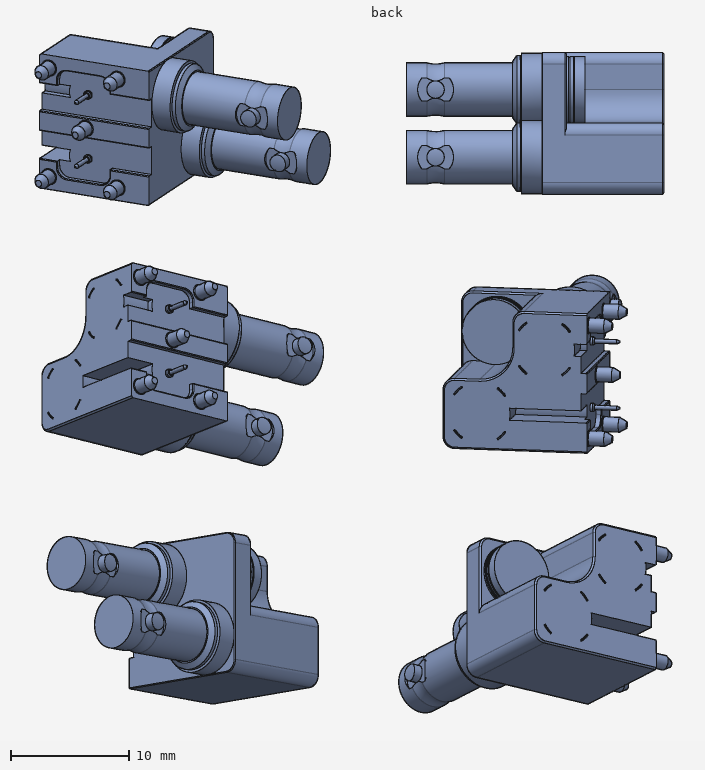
import cadquery as cq
import math


HOUSING_LENGTH = 10.36
HOUSING_HEIGHT = 12.43
HOUSING_WIDTH = 12.05
HALF_WIDTH = HOUSING_WIDTH / 2
CORNER_RADIUS = 1.0
REAR_CHAMFER = 0.15
FRONT_CHAMFER = 0.08
PLATE_REAR_X = 8.26
PLATE_OVERLAP = 1.0

CONNECTOR_Z = 2.865
LOW_AXIS_Y = 3.67
HIGH_AXIS_Y = 9.25
CONNECTOR_AXES = [(LOW_AXIS_Y, CONNECTOR_Z), (HIGH_AXIS_Y, -CONNECTOR_Z)]

NOTCH_RADIUS = 2.83
PLUG_RADIUS = 2.8
PLUG_REAR_X = 6.7
PLUG_GROOVE_RADIUS = 2.74
PLUG_GROOVES = [(7.6, 7.68), (7.95, 8.08)]

RECESS_DEPTH = 0.5
RAIL_HALF_WIDTH = 0.89
RECESS_OUTER_Z = 3.38
POCKET_OUTER_Z = 4.84
POCKET_START_X = 1.68
POCKET_END_X = 6.66
POCKET_CORNER_RADIUS = 0.95
RECESS_EDGE_CHAMFER = 0.08

CONTACT_X = 4.39
SLOT_WIDTH = 1.04
CORE_RADIUS = 2.62
CONTACT_CORE_RADIUS = 1.79

MARK_INNER_RADIUS = 2.62
MARK_OUTER_RADIUS = 2.74
MARK_SPAN = 20
MARK_DEPTH = 0.2
MARK_ANGLES = (45, 135, 225, 315)

PIN_LENGTH = 2.02
PIN_RADIUS = 0.64
PIN_TIP_RADIUS = 0.29
PIN_CONE_START = 1.4
PIN_FLARE = 0.07
PIN_REAR_X = 0.91
PIN_FRONT_X = 7.4
PIN_OUTER_Z = 4.87
PIN_PLACES = [(CONTACT_X, 0)] + [
    (x, z) for x in (PIN_REAR_X, PIN_FRONT_X) for z in (-PIN_OUTER_Z, PIN_OUTER_Z)
]

CONTACT_COLLAR_RADIUS = 0.36
CONTACT_COLLAR_END_RADIUS = 0.28
CONTACT_COLLAR_HEIGHT = 0.2
CONTACT_SHAFT_RADIUS = 0.19
CONTACT_SHAFT_START = 0.34
CONTACT_TIP_LENGTH = 0.28
CONTACT_TIP_RADIUS = 0.06

COLLAR_RADIUS = 3.1
COLLAR_END_X = 12.08
NECK_RADIUS = 2.54
FLANGE_RADIUS = 2.9
FLANGE_START_X = 12.17
FLANGE_END_X = 12.48
CONE_END_X = 12.83
CONE_END_RADIUS = 2.4
BARREL_RADIUS = 2.275
BARREL_END_X = 21.83

LUG_X = 19.36
LUG_RADIUS = 0.74
LUG_REACH = 2.84
GROOVE_DEPTH = 0.1
SEAT_DISTANCE = 2.05
SEAT_RADIUS = 1.52

EMBED = 0.4


def box_between(x_span, y_span, z_span):
    size = [high - low for low, high in (x_span, y_span, z_span)]
    return cq.Workplane("XY").box(*size, centered=False).translate((x_span[0], y_span[0], z_span[0]))


def cylinder_x(radius, x_start, x_end, y, z):
    return cq.Workplane("YZ", origin=(x_start, y, z)).circle(radius).extrude(x_end - x_start)


def chamfer_end(body, face, size):
    """Chamfer the outline of an end face, except along the board face."""
    board_edge = cq.selectors.BoxSelector(
        (-EMBED, -EMBED, -HOUSING_WIDTH),
        (HOUSING_LENGTH + EMBED, EMBED, HOUSING_WIDTH),
        boundingbox=True,
    )
    return body.faces(face).edges(cq.selectors.InverseSelector(board_edge)).chamfer(size)


def make_plate():
    """Full-width front plate with two rounded corners."""
    plate = box_between((PLATE_REAR_X, HOUSING_LENGTH), (0, HOUSING_HEIGHT), (-HALF_WIDTH, HALF_WIDTH))
    plate = plate.edges("|X and >Y").fillet(CORNER_RADIUS)
    plate = chamfer_end(plate, "<X", REAR_CHAMFER)
    return chamfer_end(plate, ">X", FRONT_CHAMFER)


def make_rear_block():
    """L-shaped block whose inner corner is an arc around the plug."""
    floor_z = CONNECTOR_Z - NOTCH_RADIUS
    wall_y = HIGH_AXIS_Y - NOTCH_RADIUS
    arc_offset = NOTCH_RADIUS * math.cos(math.radians(45))
    block = (
        cq.Workplane("YZ")
        .moveTo(0, -HALF_WIDTH)
        .lineTo(HOUSING_HEIGHT, -HALF_WIDTH)
        .lineTo(HOUSING_HEIGHT, floor_z)
        .lineTo(HIGH_AXIS_Y, floor_z)
        .threePointArc((HIGH_AXIS_Y - arc_offset, CONNECTOR_Z - arc_offset), (wall_y, CONNECTOR_Z))
        .lineTo(wall_y, HALF_WIDTH)
        .lineTo(0, HALF_WIDTH)
        .close()
        .extrude(PLATE_REAR_X + PLATE_OVERLAP)
    )
    block = block.edges("|X and >Y").fillet(CORNER_RADIUS)
    wall_corner = cq.selectors.NearestToPointSelector((PLATE_REAR_X / 2, wall_y, HALF_WIDTH))
    block = block.edges("|X").edges(wall_corner).fillet(CORNER_RADIUS)
    return chamfer_end(block, "<X", REAR_CHAMFER)


def make_recess(side):
    """Board-face recess on one side of the rail, with its rounded outer pocket."""
    depth = (0, RECESS_DEPTH)
    channel = box_between((0, HOUSING_LENGTH), depth, (RAIL_HALF_WIDTH, RECESS_OUTER_Z))
    pocket = box_between((POCKET_START_X, POCKET_END_X), depth, (RAIL_HALF_WIDTH, POCKET_OUTER_Z))
    pocket = pocket.edges("|Y and >Z").fillet(POCKET_CORNER_RADIUS)
    recess = channel.union(pocket)
    return recess if side > 0 else recess.mirror("XY")


def chamfer_recess_edges(body):
    inside = cq.selectors.BoxSelector(
        (EMBED, -EMBED / 2, -POCKET_OUTER_Z - EMBED),
        (HOUSING_LENGTH - EMBED, EMBED / 2, POCKET_OUTER_Z + EMBED),
    )
    return body.faces("<Y").edges(inside).chamfer(RECESS_EDGE_CHAMFER)


def make_slot(axis_y, axis_z):
    """Slot from the rear to the contact; its end and floor bulge around the cores."""
    half = SLOT_WIDTH / 2
    slot = box_between((0, CONTACT_X), (0, axis_y), (axis_z - half, axis_z + half))
    connector_core = cylinder_x(CORE_RADIUS, 0, CONTACT_X, axis_y, axis_z)
    contact_core = (
        cq.Workplane("XZ", origin=(CONTACT_X, 0, axis_z)).circle(CONTACT_CORE_RADIUS).extrude(-axis_y)
    )
    return slot.cut(connector_core).cut(contact_core)


def make_mark(axis_y, axis_z, angle):
    """Short curved groove in the rear face, centred at an angle about the axis."""
    def rim_point(radius, degrees):
        turn = math.radians(degrees)
        return (radius * math.cos(turn), radius * math.sin(turn))

    start = angle - MARK_SPAN / 2
    end = angle + MARK_SPAN / 2
    return (
        cq.Workplane("YZ", origin=(0, axis_y, axis_z))
        .moveTo(*rim_point(MARK_INNER_RADIUS, start))
        .threePointArc(rim_point(MARK_INNER_RADIUS, angle), rim_point(MARK_INNER_RADIUS, end))
        .lineTo(*rim_point(MARK_OUTER_RADIUS, end))
        .threePointArc(rim_point(MARK_OUTER_RADIUS, angle), rim_point(MARK_OUTER_RADIUS, start))
        .close()
        .extrude(MARK_DEPTH)
    )


def make_housing():
    housing = make_plate().union(make_rear_block())
    for side in (-1, 1):
        housing = housing.cut(make_recess(side))
    housing = chamfer_recess_edges(housing)
    for axis_y, axis_z in CONNECTOR_AXES:
        housing = housing.cut(make_slot(axis_y, axis_z))
        for angle in MARK_ANGLES:
            housing = housing.cut(make_mark(axis_y, axis_z, angle))
    return housing


def make_plug():
    """Grooved plug standing on the rear of the plate."""
    plug = cylinder_x(PLUG_RADIUS, PLUG_REAR_X, PLATE_REAR_X + EMBED, HIGH_AXIS_Y, CONNECTOR_Z)
    for start, end in PLUG_GROOVES:
        ring = cylinder_x(PLUG_RADIUS, start, end, HIGH_AXIS_Y, CONNECTOR_Z)
        core = cylinder_x(PLUG_GROOVE_RADIUS, start, end, HIGH_AXIS_Y, CONNECTOR_Z)
        plug = plug.cut(ring.cut(core))
    return plug


def turned_along_y(profile, x, z):
    """Body turned about an axis along Y from (radius, y) points."""
    body = cq.Workplane("XY").polyline(profile).close().revolve(360, (0, 0, 0), (0, 1, 0))
    return body.translate((x, 0, z))


def make_solder_pin(x, z):
    profile = [
        (0, EMBED),
        (PIN_RADIUS + PIN_FLARE, EMBED),
        (PIN_RADIUS + PIN_FLARE, 0),
        (PIN_RADIUS, -PIN_FLARE),
        (PIN_RADIUS, -PIN_CONE_START),
        (PIN_TIP_RADIUS, -PIN_LENGTH),
        (0, -PIN_LENGTH),
    ]
    return turned_along_y(profile, x, z)


def make_contact(z):
    collar_y = RECESS_DEPTH - CONTACT_COLLAR_HEIGHT
    shaft_y = RECESS_DEPTH - CONTACT_SHAFT_START
    profile = [
        (0, RECESS_DEPTH + EMBED),
        (CONTACT_COLLAR_RADIUS, RECESS_DEPTH + EMBED),
        (CONTACT_COLLAR_RADIUS, collar_y),
        (CONTACT_COLLAR_END_RADIUS, shaft_y),
        (CONTACT_SHAFT_RADIUS, shaft_y),
        (CONTACT_SHAFT_RADIUS, CONTACT_TIP_LENGTH - PIN_LENGTH),
        (CONTACT_TIP_RADIUS, -PIN_LENGTH),
        (0, -PIN_LENGTH),
    ]
    return turned_along_y(profile, CONTACT_X, z)


def make_lug_seat(side):
    """Round cutter that sinks a flat seat into the barrel around one lug."""
    seat = cq.Workplane("XZ", origin=(LUG_X, side * SEAT_DISTANCE, 0)).circle(SEAT_RADIUS)
    return seat.extrude(-side * (COLLAR_RADIUS - SEAT_DISTANCE))


def make_connector():
    """Connector turned about the X axis, with two bayonet lugs along Y."""
    connector = (
        cq.Workplane("XY")
        .moveTo(HOUSING_LENGTH - EMBED, 0)
        .lineTo(HOUSING_LENGTH - EMBED, NECK_RADIUS)
        .lineTo(HOUSING_LENGTH, NECK_RADIUS)
        .lineTo(HOUSING_LENGTH, COLLAR_RADIUS)
        .lineTo(COLLAR_END_X, COLLAR_RADIUS)
        .lineTo(COLLAR_END_X, NECK_RADIUS)
        .lineTo(FLANGE_START_X, NECK_RADIUS)
        .lineTo(FLANGE_START_X, FLANGE_RADIUS)
        .lineTo(FLANGE_END_X, FLANGE_RADIUS)
        .lineTo(CONE_END_X, CONE_END_RADIUS)
        .lineTo(CONE_END_X, BARREL_RADIUS)
        .lineTo(LUG_X - LUG_RADIUS, BARREL_RADIUS)
        .threePointArc((LUG_X, BARREL_RADIUS - GROOVE_DEPTH), (LUG_X + LUG_RADIUS, BARREL_RADIUS))
        .lineTo(BARREL_END_X, BARREL_RADIUS)
        .lineTo(BARREL_END_X, 0)
        .close()
        .revolve(360, (0, 0, 0), (1, 0, 0))
    )
    for side in (-1, 1):
        connector = connector.cut(make_lug_seat(side))
    lugs = cq.Workplane("XZ", origin=(LUG_X, 0, 0)).circle(LUG_RADIUS).extrude(COLLAR_RADIUS, both=True)
    reach = cylinder_x(LUG_REACH, LUG_X - LUG_RADIUS, LUG_X + LUG_RADIUS, 0, 0)
    return connector.union(lugs.intersect(reach))


result = make_housing().union(make_plug())
for axis_y, axis_z in CONNECTOR_AXES:
    result = result.union(make_connector().translate((0, axis_y, axis_z)))
    result = result.union(make_contact(axis_z))
for pin_x, pin_z in PIN_PLACES:
    result = result.union(make_solder_pin(pin_x, pin_z))